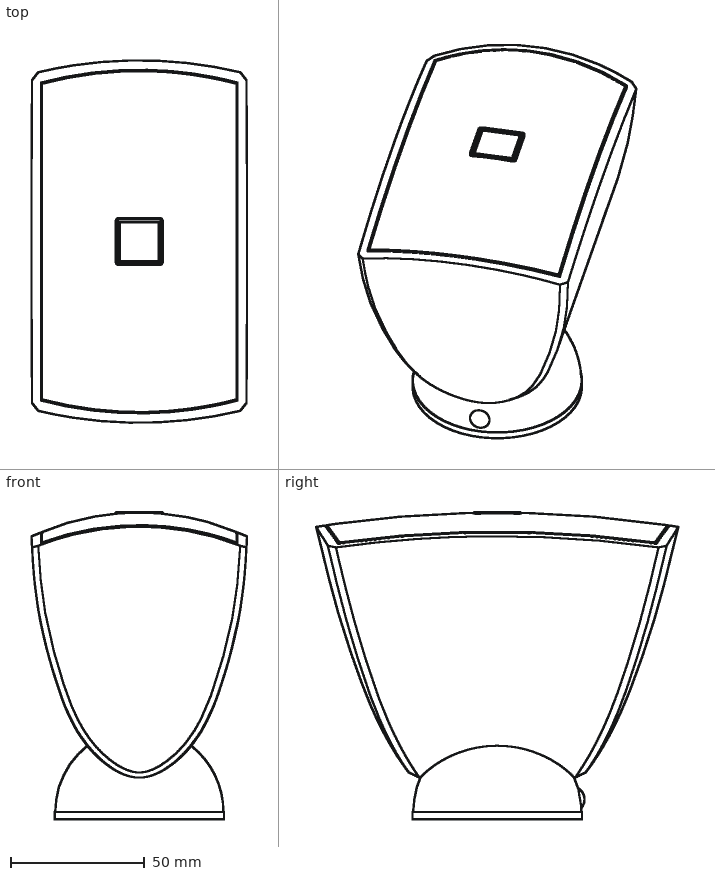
import cadquery as cq

width = 80.6
length = 135.5
height = 114.9
half_width = width / 2
half_length = length / 2

crown_height = 114.6
crown_radius_across = 96.2
crown_radius_along = 436.4
rim_side_height = crown_height - crown_radius_across + (crown_radius_across**2 - half_width**2) ** 0.5
rim_end_height = crown_height - crown_radius_along + (crown_radius_along**2 - half_length**2) ** 0.5

keel_height = 15.6
end_arc_radius = 271.0
corner_chamfer = 2.5
overshoot = 13.5

groove_inset = 3.5
groove_end_radius = 142.3
groove_width = 0.5
groove_depth = 0.4

badge_size = 17.6
badge_corner_radius = 1.4
badge_thickness = 2.0
badge_border = 1.6
badge_pocket_depth = 0.5
badge_edge_chamfer = 0.4

base_diameter = 63.4
base_thickness = 2.7
dome_diameter = 63.0
knob_diameter = 9.5
knob_reach = 32.7
knob_height = 7.5


def flank_prism():
    """U-shaped cross-section in XZ, extruded along the full length."""
    flare = 0.7
    side = [(13.5, 21.5), (22.6, 32.0), (31.8, 54.0), (37.8, 78.5), (half_width, rim_side_height)]
    top = crown_height + overshoot
    side.append((half_width + flare, top))
    left = [(-x, z) for x, z in reversed(side)]
    stock_length = length + 2 * overshoot
    return (
        cq.Workplane("XZ", origin=(0, stock_length / 2, 0))
        .moveTo(*left[0])
        .spline(left[1:] + [(0, keel_height)] + side, includeCurrent=True)
        .close()
        .extrude(stock_length)
    )


def end_envelope():
    """Round envelope whose +Y side is one bowed, tapering end of the housing."""
    axis_y = half_length - end_arc_radius
    keel_half_length = 31.6
    stock_bottom = keel_height - overshoot
    slope = 0.29
    top = crown_height + overshoot
    top_y = half_length + slope * (top - rim_end_height)
    taper = [(43.2, 33.7), (53.8, 59.5), (60.7, 81.5), (half_length, rim_end_height)]
    taper.append((top_y, top))
    profile = (
        cq.Workplane("YZ")
        .moveTo(axis_y, stock_bottom)
        .lineTo(keel_half_length, stock_bottom)
        .lineTo(keel_half_length, keel_height)
        .spline(taper, includeCurrent=True)
        .lineTo(axis_y, top)
        .close()
    )
    solid = profile.revolve(360, (axis_y, 0), (axis_y, 1))
    return solid.rotate((0, axis_y, 0), (0, axis_y, 1), 180)


def crown_solid(drop=0.0):
    """Solid under the doubly curved crown, lowered by drop."""
    apex = crown_height - drop
    reach = half_width + overshoot
    across = crown_radius_across - drop
    edge = apex - across + (across**2 - reach**2) ** 0.5
    axis_z = crown_height - crown_radius_along
    return (
        cq.Workplane("XZ")
        .moveTo(-reach, axis_z)
        .lineTo(-reach, edge)
        .threePointArc((0, apex), (reach, edge))
        .lineTo(reach, axis_z)
        .close()
        .revolve(360, (0, axis_z), (1, axis_z))
    )


def plan_prism(inset):
    """Vertical prism with straight sides and bowed ends, inset from the rim."""
    x = half_width - inset
    y_mid = half_length - inset
    radius = groove_end_radius + groove_inset - inset
    y_corner = y_mid - radius + (radius**2 - x**2) ** 0.5
    return (
        cq.Workplane("XY")
        .moveTo(-x, -y_corner)
        .threePointArc((0, -y_mid), (x, -y_corner))
        .lineTo(x, y_corner)
        .threePointArc((0, y_mid), (-x, y_corner))
        .close()
        .extrude(height)
    )


def housing():
    """Tapering body with chamfered end outlines, trimmed by the crown."""
    far_end = end_envelope()
    near_end = far_end.mirror("XZ")
    body = flank_prism().intersect(far_end).intersect(near_end)
    body = body.edges("not(|Y or >Z)").chamfer(corner_chamfer)
    return body.intersect(crown_solid())


def crown_groove():
    """Thin frame-shaped groove that follows the rim of the crown."""
    ring = plan_prism(groove_inset).cut(plan_prism(groove_inset + groove_width))
    return ring.cut(crown_solid(groove_depth))


def badge_plate():
    """Square badge with rounded corners, sunk into the crown and standing proud of it."""
    return (
        cq.Workplane("XY", origin=(0, 0, height - badge_thickness))
        .rect(badge_size, badge_size)
        .extrude(badge_thickness)
        .edges("|Z")
        .fillet(badge_corner_radius)
    )


def badge():
    """Badge with a bevelled border around a shallow recess."""
    recess_size = badge_size - 2 * badge_border
    recess = (
        cq.Workplane("XY", origin=(0, 0, height - badge_pocket_depth))
        .rect(recess_size, recess_size)
        .extrude(badge_pocket_depth)
    )
    return badge_plate().cut(recess).faces(">Z").edges().chamfer(badge_edge_chamfer)


def foot():
    """Round base plate carrying a dome and a small side knob."""
    base = cq.Workplane("XY").circle(base_diameter / 2).extrude(base_thickness)
    dome_radius = dome_diameter / 2
    dome = (
        cq.Workplane("XZ", origin=(0, 0, base_thickness))
        .lineTo(dome_radius, 0)
        .radiusArc((0, dome_radius), -dome_radius)
        .close()
        .revolve(360, (0, 0), (0, 1))
    )
    knob_radius = knob_diameter / 2
    knob = cq.Workplane("XY").sphere(knob_radius)
    knob = knob.translate((0, knob_reach - knob_radius, knob_height))
    return base.union(dome).union(knob)


result = housing().cut(crown_groove()).cut(badge_plate()).union(badge()).union(foot())